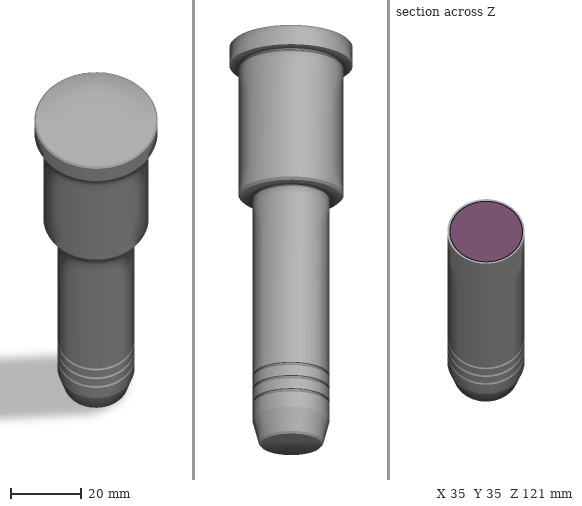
import cadquery as cq
import math

total_length = 121.0
head_radius = 17.5
head_height = 6.0
head_chamfer = 0.5
body_radius = 15.0
body_bottom = 75.0
body_chamfer = 0.7
stem_radius = 11.0

relief_depth = 0.6
head_relief_height = 0.5
stem_relief_height = 0.7

groove_count = 3
groove_pitch = 4.0
groove_width = 1.0
groove_depth = 0.6
groove_floor = 0.5
first_groove_z = 12.5

taper_top = 7.3
taper_angle = 15.0
tip_chamfer_height = 0.6
tip_chamfer_width = 0.5

head_bottom = total_length - head_height
body_top = head_bottom - head_relief_height
stem_top = body_bottom - stem_relief_height


def cylinder(radius, bottom, top):
    """Solid cylinder on the Z axis between two heights."""
    return cq.Workplane("XY").workplane(offset=bottom).circle(radius).extrude(top - bottom)


def make_tip():
    """Cone with a small chamfer around its lower end."""
    taper_height = taper_top - tip_chamfer_height
    cone_radius = stem_radius - taper_height * math.tan(math.radians(taper_angle))
    return (
        cq.Workplane("XZ")
        .moveTo(0, 0)
        .lineTo(cone_radius - tip_chamfer_width, 0)
        .lineTo(cone_radius, tip_chamfer_height)
        .lineTo(stem_radius, taper_top)
        .lineTo(0, taper_top)
        .close()
        .revolve(360, (0, 0, 0), (0, 1, 0))
    )


def make_groove(center_z):
    """Ring cutter: flat shoulder above a short floor, sloping flank below."""
    return (
        cq.Workplane("XZ")
        .moveTo(stem_radius, center_z - groove_width / 2)
        .lineTo(stem_radius - groove_depth, center_z + groove_width / 2 - groove_floor)
        .lineTo(stem_radius - groove_depth, center_z + groove_width / 2)
        .lineTo(stem_radius, center_z + groove_width / 2)
        .close()
        .revolve(360, (0, 0, 0), (0, 1, 0))
    )


head = cylinder(head_radius, head_bottom, total_length).faces(">Z").edges().chamfer(head_chamfer)
head_relief = cylinder(body_radius - relief_depth, body_top, head_bottom)
body = cylinder(body_radius, body_bottom, body_top).faces("<Z or >Z").edges().chamfer(body_chamfer)
stem_relief = cylinder(stem_radius - relief_depth, stem_top, body_bottom)
stem = cylinder(stem_radius, taper_top, stem_top)

result = make_tip().union(stem).union(stem_relief).union(body).union(head_relief).union(head)
for index in range(groove_count):
    result = result.cut(make_groove(first_groove_z + index * groove_pitch))